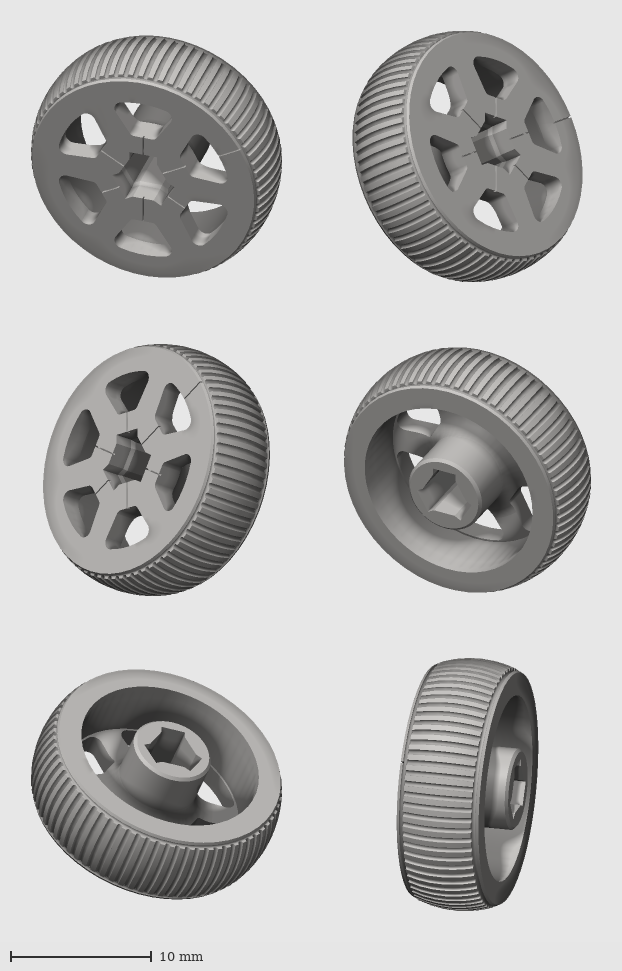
import math
import cadquery as cq

DISC_WIDTH = 6.0
HALF_WIDTH = DISC_WIDTH / 2
FACE_RADIUS = 8.29
RIM_RADIUS = 8.39
RIM_BEVEL_WIDTH = 0.2

CHANNEL_RADIUS = 8.23
CHANNEL_OUTER_RADIUS = 8.34

TREAD_WIDTH = 5.0
HALF_TREAD = TREAD_WIDTH / 2
CROWN_RADIUS = 8.987
TREAD_EDGE_RADIUS = 8.55
GROOVE_COUNT = 72
GROOVE_PITCH = 360 / GROOVE_COUNT
SECTOR_COUNT = 12
SECTOR_ANGLE = 360 / SECTOR_COUNT
GROOVES_PER_SECTOR = GROOVE_COUNT // SECTOR_COUNT
GROOVE_HALF_WIDTH = 0.19
GROOVE_DEPTH = 0.22

BOSS_DIAMETER = 5.8
BOSS_HEIGHT = 0.7
BOSS_CHAMFER = 0.2

WINDOW_COUNT = 6
WINDOW_PITCH = 360 / WINDOW_COUNT
WINDOW_INNER_DISTANCE = 3.6
WINDOW_INNER_HALF_WIDTH = 0.88
WINDOW_OUTER_RADIUS = 6.5
WINDOW_SIDE_ANGLE = 33.4
WINDOW_INNER_FILLET = 0.4
WINDOW_OUTER_FILLET = 0.6

WEB_THICKNESS = 1.55
CAVITY_RADIUS = 6.65
HUB_RADIUS = BOSS_DIAMETER / 2
HUB_ROOT_FILLET = 1.8

HEX_SIDES = 6
HEX_APOTHEM = 1.65
KEY_REACH = 2.14
KEY_HALF_WIDTH = 1.04
KEY_COUNT = 3
SOCKET_DEPTH = 1.5
SOCKET_STEP = 0.15
SOCKET_TAPER_LENGTH = 0.3

SCORE_WIDTH = 0.1
SCORE_DEPTH = 0.25
RIM_SCORE_ANGLE = 30

FRONT = -HALF_WIDTH
BACK = HALF_WIDTH
BOSS_END = BACK + BOSS_HEIGHT
OVERRUN = 0.5


def layer(y):
    """Sketch plane square to the axle at y; sketches extrude towards the back."""
    return cq.Workplane(cq.Plane(origin=(0, y, 0), xDir=(-1, 0, 0), normal=(0, 1, 0)))


def spin(shape, angle):
    """Turn a shape about the axle, from +X towards +Z."""
    return shape.rotate((0, 0, 0), (0, 1, 0), -angle)


def make_plain_sector():
    """Sector of the disc with rims, channels and a smooth crown, running from +X towards -Z."""
    rim_y = HALF_WIDTH - RIM_BEVEL_WIDTH
    channel_y = (rim_y + HALF_TREAD) / 2
    return (
        cq.Workplane("XY")
        .moveTo(0, FRONT)
        .lineTo(FACE_RADIUS, FRONT)
        .lineTo(RIM_RADIUS, -rim_y)
        .threePointArc((CHANNEL_RADIUS, -channel_y), (CHANNEL_OUTER_RADIUS, -HALF_TREAD))
        .lineTo(TREAD_EDGE_RADIUS, -HALF_TREAD)
        .threePointArc((CROWN_RADIUS, 0), (TREAD_EDGE_RADIUS, HALF_TREAD))
        .lineTo(CHANNEL_OUTER_RADIUS, HALF_TREAD)
        .threePointArc((CHANNEL_RADIUS, channel_y), (RIM_RADIUS, rim_y))
        .lineTo(FACE_RADIUS, BACK)
        .lineTo(0, BACK)
        .close()
        .revolve(SECTOR_ANGLE, (0, 0, 0), (0, 1, 0))
    )


def make_boss():
    """Chamfered boss on the back face."""
    return layer(BACK).circle(BOSS_DIAMETER / 2).extrude(BOSS_HEIGHT).faces(">Y").chamfer(BOSS_CHAMFER)


def make_tread_groove():
    """Round-bottomed groove that follows the crown arc across the tread, centred on +X."""
    crown_drop = CROWN_RADIUS - TREAD_EDGE_RADIUS
    arc_radius = (HALF_TREAD**2 + crown_drop**2) / (2 * crown_drop)
    arc_centre = CROWN_RADIUS - arc_radius
    bottom = CROWN_RADIUS - GROOVE_DEPTH
    mouth = CROWN_RADIUS + OVERRUN
    ring = (
        cq.Workplane("XZ")
        .moveTo(mouth, -GROOVE_HALF_WIDTH)
        .lineTo(bottom + GROOVE_HALF_WIDTH, -GROOVE_HALF_WIDTH)
        .threePointArc((bottom, 0), (bottom + GROOVE_HALF_WIDTH, GROOVE_HALF_WIDTH))
        .lineTo(mouth, GROOVE_HALF_WIDTH)
        .close()
        .revolve(360, (arc_centre, 0, 0), (arc_centre, 1, 0))
    )
    tread_zone = cq.Workplane("XY").box(2 * CROWN_RADIUS, TREAD_WIDTH, 2 * OVERRUN)
    return ring.intersect(tread_zone.translate((1.5 * CROWN_RADIUS, 0, 0)))


def make_treaded_disc():
    """Disc joined from equal sectors that meet along the middle of a groove."""
    groove = make_tread_groove()
    sector = spin(make_plain_sector(), SECTOR_ANGLE)
    for i in range(GROOVES_PER_SECTOR + 1):
        sector = sector.cut(spin(groove, i * GROOVE_PITCH))
    sectors = [spin(sector, i * SECTOR_ANGLE).val() for i in range(SECTOR_COUNT)]
    return cq.Workplane(sectors[0].fuse(*sectors[1:]).clean())


def make_cavity():
    """Ring-shaped hollow behind the web, with a rounded root where the hub meets the web."""
    return (
        layer(FRONT + WEB_THICKNESS)
        .circle(CAVITY_RADIUS)
        .circle(HUB_RADIUS)
        .extrude(DISC_WIDTH)
        .faces("<Y")
        .edges(cq.selectors.RadiusNthSelector(0))
        .fillet(HUB_ROOT_FILLET)
    )


def make_windows():
    """Rounded wedge windows through the disc, one centred every WINDOW_PITCH degrees."""
    slope = math.tan(math.radians(WINDOW_SIDE_ANGLE))
    outer_half_width = WINDOW_INNER_HALF_WIDTH + slope * (WINDOW_OUTER_RADIUS - WINDOW_INNER_DISTANCE)
    length = DISC_WIDTH + 2 * OVERRUN
    wedge = (
        layer(FRONT - OVERRUN)
        .moveTo(-WINDOW_INNER_HALF_WIDTH, WINDOW_INNER_DISTANCE)
        .lineTo(WINDOW_INNER_HALF_WIDTH, WINDOW_INNER_DISTANCE)
        .lineTo(outer_half_width, WINDOW_OUTER_RADIUS)
        .lineTo(-outer_half_width, WINDOW_OUTER_RADIUS)
        .close()
        .extrude(length)
    )
    outer_limit = layer(FRONT - OVERRUN).circle(WINDOW_OUTER_RADIUS).extrude(length)
    window_middle = (WINDOW_INNER_DISTANCE + WINDOW_OUTER_RADIUS) / 2
    inner_corners = cq.selectors.BoxSelector(
        (-outer_half_width, FRONT - OVERRUN, 0),
        (outer_half_width, BACK + OVERRUN, window_middle),
    )
    window = wedge.intersect(outer_limit)
    window = window.edges("|Y").edges(inner_corners).fillet(WINDOW_INNER_FILLET)
    window = window.edges("|Y").edges(">X or <X").fillet(WINDOW_OUTER_FILLET)
    windows = [spin(window.val(), i * WINDOW_PITCH) for i in range(WINDOW_COUNT)]
    return cq.Workplane(cq.Compound.makeCompound(windows))


def socket_section(y, length, inset, taper=0):
    """Hexagon with three keys, walls moved in by inset, from y towards the back."""
    hex_diameter = 2 * (HEX_APOTHEM - inset) / math.cos(math.pi / HEX_SIDES)
    section = layer(y).polygon(HEX_SIDES, hex_diameter).extrude(length, taper=taper)
    key_width = 2 * (KEY_HALF_WIDTH - inset)
    key_reach = KEY_REACH - inset
    for i in range(KEY_COUNT):
        key = layer(y).center(0, key_reach / 2).rect(key_width, key_reach).extrude(length, taper=taper)
        section = section.union(spin(key, i * 360 / KEY_COUNT))
    return section


def make_socket():
    """Wide socket at the front, a short taper, then a narrower hole through the boss."""
    taper_start = FRONT + SOCKET_DEPTH
    taper_end = taper_start + SOCKET_TAPER_LENGTH
    taper_angle = math.degrees(math.atan(SOCKET_STEP / SOCKET_TAPER_LENGTH))
    wide = socket_section(FRONT - OVERRUN, SOCKET_DEPTH + OVERRUN, 0)
    taper = socket_section(taper_start, SOCKET_TAPER_LENGTH, 0, taper_angle)
    narrow = socket_section(taper_end, BOSS_END - taper_end + OVERRUN, SOCKET_STEP)
    return wide.union(taper).union(narrow)


def make_score(inner_radius, outer_radius, angle):
    """Thin radial groove in the front face."""
    length = outer_radius - inner_radius
    score = (
        layer(FRONT - OVERRUN)
        .center(0, inner_radius + length / 2)
        .rect(SCORE_WIDTH, length)
        .extrude(SCORE_DEPTH + OVERRUN)
    )
    return spin(score, angle - 90)


def make_scores():
    """Score lines from the socket to each window, and one from a window to the rim."""
    scores = make_score(WINDOW_OUTER_RADIUS - OVERRUN, RIM_RADIUS, RIM_SCORE_ANGLE)
    for i in range(WINDOW_COUNT):
        hub_score = make_score(HEX_APOTHEM / 2, WINDOW_INNER_DISTANCE + OVERRUN, 90 + i * WINDOW_PITCH)
        scores = scores.add(hub_score)
    return cq.Workplane(cq.Compound.makeCompound(scores.vals()))


wheel = make_treaded_disc().cut(make_cavity()).union(make_boss())
result = wheel.cut(make_windows()).cut(make_socket()).cut(make_scores())